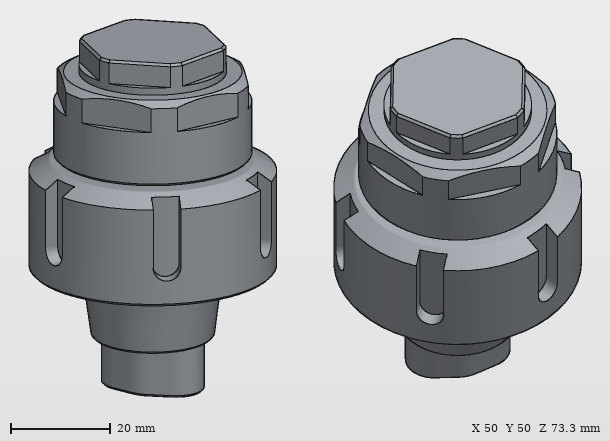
import cadquery as cq
import math

total_height = 73.29
taper_bottom = 11.0
collar_bottom = 25.3
collar_top = 48.3
nut_bottom = 49.2
nut_flat_bottom = 60.7
nut_top = 66.9
hex_bottom = 68.4

edge_chamfer = 0.5
cone_angle = math.radians(30)

collar_diameter = 50.0
collar_top_diameter = 41.54
collar_rim_fillet = 1.0
slot_count = 6
slot_width = 5.6
slot_floor_radius = 22.0
slot_bottom = 30.7

neck_diameter = 31.6
nut_diameter = 40.0
nut_top_diameter = 36.0
nut_across_flats = 37.0
boss_diameter = 29.8

hex_across_flats = 27.0
hex_rotation = 12.0
hex_chamfer = 0.5

taper_bottom_diameter = 24.95
taper_chamfer = 0.4
taper_half_angle = math.radians(8)

shank_length = 21.6
shank_width = 14.0
shank_end_radius = 5.65

corner_per_flat = 2 / math.sqrt(3)


def hex_prism(across_flats, bottom, top):
    """Hexagonal prism with two flats facing +Y and -Y."""
    return (
        cq.Workplane("XY", origin=(0, 0, bottom))
        .polygon(6, across_flats * corner_per_flat)
        .extrude(top - bottom)
    )


def disc(diameter, bottom, top):
    return cq.Workplane("XY", origin=(0, 0, bottom)).circle(diameter / 2).extrude(top - bottom)


def coned_disc(diameter, top_diameter, bottom, top):
    """Disc with a bottom edge chamfer and a shallow cone at its top."""
    radius = diameter / 2
    top_radius = top_diameter / 2
    cone_drop = (radius - top_radius) * math.tan(cone_angle)
    return (
        cq.Workplane("XZ")
        .moveTo(0, bottom)
        .lineTo(radius - edge_chamfer, bottom)
        .lineTo(radius, bottom + edge_chamfer)
        .lineTo(radius, top - cone_drop)
        .lineTo(top_radius, top)
        .lineTo(0, top)
        .close()
        .revolve(360, (0, 0, 0), (0, 1, 0))
    )


def make_shank():
    centre_radius = shank_width / 2
    end_x = shank_length / 2
    end_centre = end_x - shank_end_radius
    normal_x = (centre_radius - shank_end_radius) / end_centre
    normal_y = math.sqrt(1 - normal_x**2)
    centre_x = centre_radius * normal_x
    centre_y = centre_radius * normal_y
    tangent_x = end_centre + shank_end_radius * normal_x
    tangent_y = shank_end_radius * normal_y
    return (
        cq.Workplane("XY")
        .moveTo(-centre_x, -centre_y)
        .threePointArc((0, -centre_radius), (centre_x, -centre_y))
        .lineTo(tangent_x, -tangent_y)
        .threePointArc((end_x, 0), (tangent_x, tangent_y))
        .lineTo(centre_x, centre_y)
        .threePointArc((0, centre_radius), (-centre_x, centre_y))
        .lineTo(-tangent_x, tangent_y)
        .threePointArc((-end_x, 0), (-tangent_x, -tangent_y))
        .close()
        .extrude(taper_bottom)
        .faces("<Z")
        .chamfer(edge_chamfer)
    )


def make_taper():
    bottom_radius = taper_bottom_diameter / 2
    taper_start = taper_bottom + taper_chamfer
    top_radius = bottom_radius + (collar_bottom - taper_start) * math.tan(taper_half_angle)
    return (
        cq.Workplane("XZ")
        .moveTo(0, taper_bottom)
        .lineTo(bottom_radius - taper_chamfer, taper_bottom)
        .lineTo(bottom_radius, taper_start)
        .lineTo(top_radius, collar_bottom)
        .lineTo(0, collar_bottom)
        .close()
        .revolve(360, (0, 0, 0), (0, 1, 0))
    )


def make_slot():
    """Cutter for one wrench slot at +X, with a round lower end and a floor concentric with the collar."""
    round_centre = slot_bottom + slot_width / 2
    half_width = slot_width / 2
    cutter = (
        cq.Workplane("YZ")
        .moveTo(-half_width, collar_top)
        .lineTo(-half_width, round_centre)
        .threePointArc((0, slot_bottom), (half_width, round_centre))
        .lineTo(half_width, collar_top)
        .close()
        .extrude(collar_diameter)
    )
    return cutter.cut(disc(2 * slot_floor_radius, slot_bottom, collar_top))


def make_collar():
    collar = coned_disc(collar_diameter, collar_top_diameter, collar_bottom, collar_top)
    collar = collar.faces(">Z").edges().fillet(collar_rim_fillet)
    for index in range(slot_count):
        angle = index * 360 / slot_count
        collar = collar.cut(make_slot().rotate((0, 0, 0), (0, 0, 1), angle))
    return collar


def make_nut():
    nut = coned_disc(nut_diameter, nut_top_diameter, nut_bottom, nut_top)
    lower = disc(nut_diameter, nut_bottom, nut_flat_bottom)
    upper = hex_prism(nut_across_flats, nut_flat_bottom, nut_top)
    return nut.intersect(lower.union(upper))


def make_hex_head():
    head = hex_prism(hex_across_flats, hex_bottom, total_height)
    head = head.intersect(disc(boss_diameter, hex_bottom, total_height))
    head = head.faces(">Z").chamfer(hex_chamfer)
    return head.rotate((0, 0, 0), (0, 0, 1), hex_rotation)


result = (
    make_shank()
    .union(make_taper())
    .union(make_collar())
    .union(disc(neck_diameter, collar_top, nut_bottom))
    .union(make_nut())
    .union(disc(boss_diameter, nut_top, hex_bottom))
    .union(make_hex_head())
)